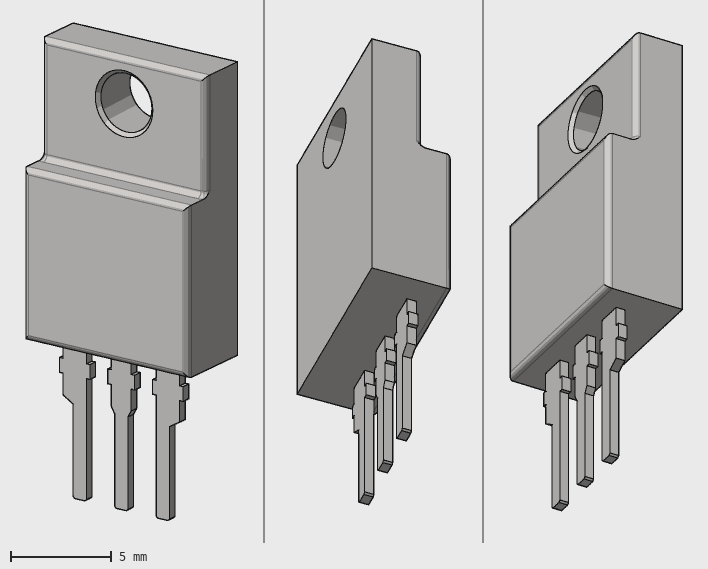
import cadquery as cq

HEIGHT = 23.8
WIDTH = 10.0
DEPTH = 4.3

LEAD_LENGTH = 8.3
TAB_DEPTH = 2.71
TAB_HEIGHT = 6.4
SHELF_Z = HEIGHT - TAB_HEIGHT
EDGE_RADIUS = 0.3

HOLE_DIAMETER = 3.1
HOLE_CHAMFER = 0.202
HOLE_BELOW_TOP = 2.45

LEAD_PITCH = 2.52
LEAD_THICKNESS = 0.5
LEG_WIDTH = 0.8
CENTRE_SHANK_WIDTH = 1.21
OUTER_SHANK_WIDTH = 1.43
COLLAR_OVERHANG = 0.21
COLLAR_TOP = 7.25
COLLAR_BOTTOM = 6.47
TAPER_TOP = 5.33
TAPER_BOTTOM = 4.97
TIP_CHAMFER = 0.1

SELECTION_MARGIN = 0.002


def plate(depth, bottom, top):
    """Full-width box that reaches from the back face to the given depth."""
    box = cq.Workplane("XY").box(WIDTH, depth, top - bottom, centered=(True, False, False))
    return box.translate((0, -depth, bottom))


def rounded_block():
    """Thick lower block with all four front edges rounded."""
    return plate(DEPTH, LEAD_LENGTH, SHELF_Z).faces("<Y").edges().fillet(EDGE_RADIUS)


def rounded_tab():
    """Tab with its top and side front edges rounded; it runs on down behind the block's front."""
    return plate(TAB_DEPTH, LEAD_LENGTH, HEIGHT).faces("<Y").edges("not <Z").fillet(EDGE_RADIUS)


def blend_tab_into_shelf(body):
    """Concave fillet where the front of the tab, with its rounded sides, meets the shelf."""
    shelf_corner = cq.selectors.BoxSelector(
        (-WIDTH, -TAB_DEPTH - SELECTION_MARGIN, SHELF_Z - SELECTION_MARGIN),
        (WIDTH, -TAB_DEPTH + EDGE_RADIUS + SELECTION_MARGIN, SHELF_Z + SELECTION_MARGIN),
        boundingbox=True,
    )
    return body.edges(shelf_corner).fillet(EDGE_RADIUS)


def mounting_hole():
    """Cutter for the round hole, with a countersunk front rim."""
    radius = HOLE_DIAMETER / 2
    rim_radius = radius + HOLE_CHAMFER
    profile = [
        (0, 0),
        (radius, 0),
        (radius, -TAB_DEPTH + HOLE_CHAMFER),
        (rim_radius, -TAB_DEPTH),
        (0, -TAB_DEPTH),
    ]
    cutter = cq.Workplane("XY").polyline(profile).close().revolve(360, (0, 0), (0, 1))
    return cutter.translate((0, 0, HEIGHT - HOLE_BELOW_TOP))


def make_housing():
    """Tab and block as one solid, with the hole through the tab."""
    body = blend_tab_into_shelf(rounded_tab().union(rounded_block()))
    return body.cut(mounting_hole())


def make_lead(centre_x, shank_left, shank_right):
    """Flat lead: shank with a collar, tapering to a straight leg centred on centre_x."""
    leg_left = centre_x - LEG_WIDTH / 2
    leg_right = centre_x + LEG_WIDTH / 2

    def side(shank_x, leg_x, outward):
        """Outline of one side, from the housing down to the tip."""
        collar_x = shank_x + outward * COLLAR_OVERHANG
        upper = [(shank_x, LEAD_LENGTH), (shank_x, COLLAR_TOP), (collar_x, COLLAR_TOP)]
        lower = [(collar_x, COLLAR_BOTTOM), (shank_x, COLLAR_BOTTOM)]
        taper = [(shank_x, TAPER_TOP), (leg_x, TAPER_BOTTOM)] if shank_x != leg_x else []
        tip = [(leg_x, TIP_CHAMFER), (leg_x - outward * TIP_CHAMFER, 0)]
        return upper + lower + taper + tip

    outline = side(shank_left, leg_left, -1) + side(shank_right, leg_right, 1)[::-1]
    return (
        cq.Workplane("XZ", origin=(0, -TAB_DEPTH, 0))
        .polyline(outline)
        .close()
        .extrude(LEAD_THICKNESS / 2, both=True)
    )


def make_leads():
    """Three leads; the outer two have shanks that widen away from the centre lead."""
    leads = []
    for position in (-1, 0, 1):
        centre_x = position * LEAD_PITCH
        if position == 0:
            shank_left = -CENTRE_SHANK_WIDTH / 2
            shank_right = CENTRE_SHANK_WIDTH / 2
        elif position < 0:
            shank_right = centre_x + LEG_WIDTH / 2
            shank_left = shank_right - OUTER_SHANK_WIDTH
        else:
            shank_left = centre_x - LEG_WIDTH / 2
            shank_right = shank_left + OUTER_SHANK_WIDTH
        leads.append(make_lead(centre_x, shank_left, shank_right))
    return leads


housing = make_housing()
leads = make_leads()

result = cq.Compound.makeCompound([housing.val(), *[lead.val() for lead in leads]])